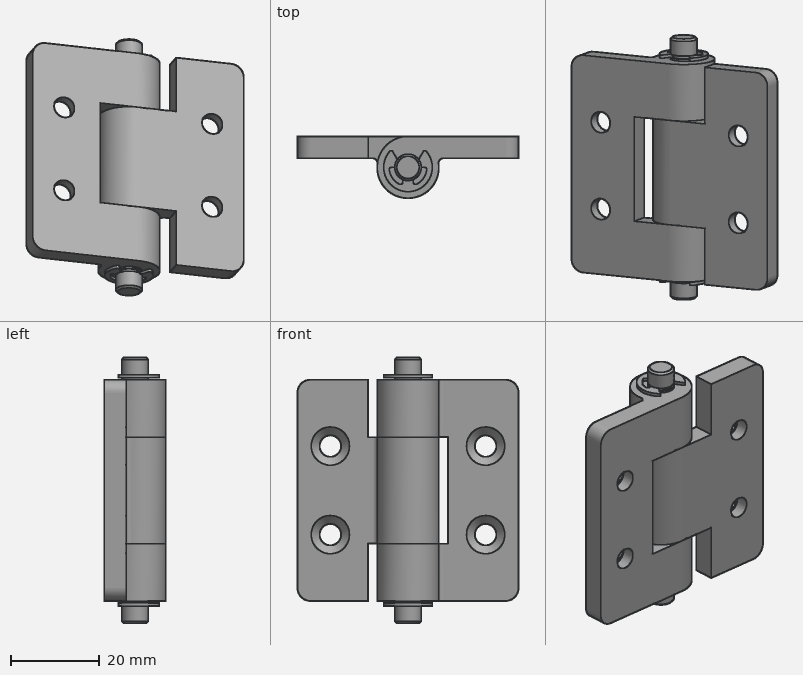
import cadquery as cq
import math

pin_length = 60.0
hinge_width = 50.0
leaf_height = 50.0
knuckle_diameter = 14.0

leaf_thickness = 5.0
leaf_corner_radius = 3.0
middle_knuckle_height = 24.0
knuckle_clearance_edge = 9.0
root_fillet_radius = 1.0

screw_hole_diameter = 4.8
countersink_diameter = 8.65
countersink_angle = 90.0
screw_hole_offset = 17.5
screw_hole_spacing = 20.0

pin_diameter = 6.0
pin_chamfer = 0.5
groove_diameter = 5.0

clip_diameter = 11.0
clip_thickness = 0.7
clip_gap = 0.4
clip_mouth_angle = 60.0
clip_mouth_apex = -2.4
clip_tip_radius = 0.4
clip_slot_radius = 4.25
clip_slot_corner_radius = 0.5
clip_tab_width = 2.4

knuckle_radius = knuckle_diameter / 2
back_y = knuckle_radius
front_y = back_y - leaf_thickness
outer_knuckle_height = (leaf_height - middle_knuckle_height) / 2
outer_knuckle_z = (middle_knuckle_height + outer_knuckle_height) / 2
clip_z = leaf_height / 2 + clip_gap + clip_thickness / 2


def cylinder(diameter, height, z=0.0):
    """Cylinder on the Z axis, centred at height z."""
    return cq.Workplane("XY").circle(diameter / 2).extrude(height / 2, both=True).translate((0, 0, z))


def leaf_plate():
    """Flat part of the +X leaf, outside the notch edge, with rounded outer corners."""
    length = hinge_width / 2 - knuckle_clearance_edge
    return (
        cq.Workplane("XY")
        .box(length, leaf_thickness, leaf_height)
        .translate((knuckle_clearance_edge + length / 2, back_y - leaf_thickness / 2, 0))
        .edges("|Y and >X")
        .fillet(leaf_corner_radius)
    )


def knuckle(height, z):
    """Bored knuckle at height z, with the web that joins it to the +X plate."""
    fillet_y = front_y - root_fillet_radius
    fillet_x = math.sqrt((knuckle_radius + root_fillet_radius) ** 2 - fillet_y**2)
    touch_ratio = knuckle_radius / (knuckle_radius + root_fillet_radius)
    touch_point = (fillet_x * touch_ratio, fillet_y * touch_ratio)
    return (
        cq.Workplane("XY")
        .moveTo(0, back_y)
        .lineTo(knuckle_clearance_edge, back_y)
        .lineTo(knuckle_clearance_edge, front_y)
        .lineTo(fillet_x, front_y)
        .radiusArc(touch_point, -root_fillet_radius)
        .threePointArc((-knuckle_radius, 0), (0, back_y))
        .close()
        .extrude(height / 2, both=True)
        .translate((0, 0, z))
        .cut(cylinder(pin_diameter, height, z))
    )


def drill_screw_holes(leaf):
    """Cut the two screw holes, countersunk from the front face."""
    return (
        leaf.copyWorkplane(cq.Workplane("XZ", origin=(screw_hole_offset, front_y, 0)))
        .pushPoints([(0, screw_hole_spacing / 2), (0, -screw_hole_spacing / 2)])
        .cskHole(screw_hole_diameter, countersink_diameter, countersink_angle)
    )


def make_outer_leaf():
    """+X leaf with a knuckle at the top and one at the bottom."""
    leaf = leaf_plate()
    for side in (1, -1):
        leaf = leaf.union(knuckle(outer_knuckle_height, side * outer_knuckle_z))
    return drill_screw_holes(leaf)


def make_middle_leaf():
    """-X leaf with one knuckle in the middle."""
    leaf = leaf_plate().union(knuckle(middle_knuckle_height, 0))
    return drill_screw_holes(leaf).mirror("YZ")


def make_pin():
    """Pin with chamfered ends and a groove for each clip."""
    pin = cylinder(pin_diameter, pin_length).faces("<Z or >Z").chamfer(pin_chamfer)
    for side in (1, -1):
        groove = cylinder(pin_diameter, clip_thickness, side * clip_z)
        groove = groove.cut(cylinder(groove_diameter, clip_thickness, side * clip_z))
        pin = pin.cut(groove)
    return pin


def clip_slot(side):
    """Relief slot beside the middle tab of a clip; it reaches in past the bore edge."""
    tab_edge = clip_tab_width / 2
    quadrant = cq.Workplane("XY").box(
        clip_slot_radius, clip_slot_radius, clip_thickness, centered=(False, False, True)
    )
    quadrant = quadrant.translate((tab_edge, -clip_slot_radius, 0))
    slot = cylinder(2 * clip_slot_radius, clip_thickness).intersect(quadrant)
    slot = slot.edges("|Z").fillet(clip_slot_corner_radius)
    return slot if side > 0 else slot.mirror("YZ")


def make_clip(z):
    """E-shaped clip at height z, seated in a pin groove and open toward +Y."""
    mouth_depth = clip_diameter
    mouth_half_width = mouth_depth * math.tan(math.radians(clip_mouth_angle / 2))
    mouth_end = clip_mouth_apex + mouth_depth
    mouth = (
        cq.Workplane("XY")
        .polyline([(0, clip_mouth_apex), (mouth_half_width, mouth_end), (-mouth_half_width, mouth_end)])
        .close()
        .extrude(clip_thickness / 2, both=True)
    )
    clip = cylinder(clip_diameter, clip_thickness).cut(mouth)
    clip = clip.edges("|Z").edges(">Y").fillet(clip_tip_radius)
    clip = clip.cut(cylinder(groove_diameter, clip_thickness))
    for side in (1, -1):
        clip = clip.cut(clip_slot(side))
    return clip.translate((0, 0, z))


outer_leaf = make_outer_leaf()
middle_leaf = make_middle_leaf()
pin = make_pin()
clips = [make_clip(side * clip_z) for side in (1, -1)]

result = cq.Compound.makeCompound(
    [
        outer_leaf.solids().val(),
        middle_leaf.solids().val(),
        pin.solids().val(),
        *[clip.solids().val() for clip in clips],
    ]
)